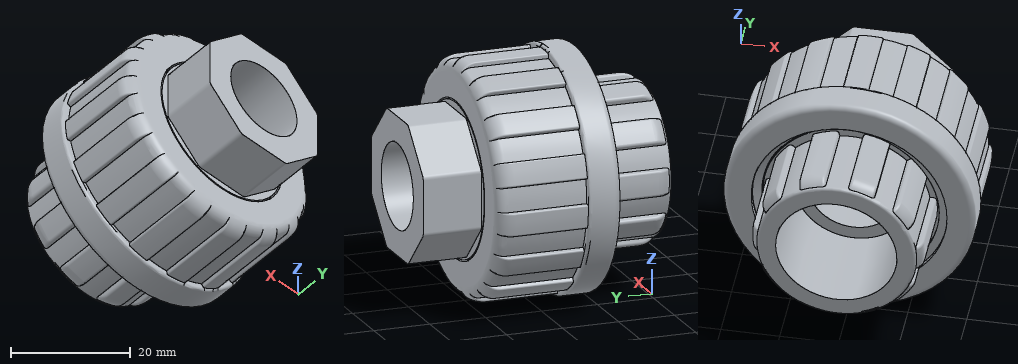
import cadquery as cq
import math


socket_front_y = -22.02
tail_back_y = 22.02
nut_front_y = -10.0
nut_ring_back_y = -4.25
nut_back_y = 11.65
nut_wall = 2.65
tail_flange_thickness = 2.65
nut_seat_y = nut_back_y - nut_wall
joint_y = nut_seat_y - tail_flange_thickness

passage_dia = 15.1
socket_mouth_dia = 20.6
socket_bottom_dia = 19.75
socket_depth = 15.85

thread_pitch = 2.31
thread_half_angle = 27.5
nut_thread_minor_dia = 30.3
nut_thread_major_dia = 33.25
socket_thread_minor_dia = 30.0
thread_depth = (nut_thread_major_dia - nut_thread_minor_dia) / 2
thread_crest_width = thread_pitch / 2 - thread_depth * math.tan(math.radians(thread_half_angle))
thread_root_overlap = 0.15
nut_mouth_dia = 33.3
nut_mouth_depth = 0.93
nut_mouth_y = nut_front_y + nut_mouth_depth
thread_start_y = nut_mouth_y - thread_pitch
socket_thread_turns = 5
nut_thread_turns = 6
socket_thread_front_y = nut_mouth_y + thread_pitch / 2

nut_ring_dia = 43.0
nut_ring_front_fillet = 1.035
nut_ring_back_fillet = 0.55
nut_body_dia = 40.35
nut_body_fillet = 1.95
nut_hole_dia = 27.7
nut_rib_count = 15
nut_rib_dia = 42.0
nut_rib_width = 4.25
nut_rib_edge_fillet = 0.3
nut_rib_end_y = 8.68
nut_rib_end_radius = 2.95

socket_body_dia = 27.2
socket_front_fillet = 0.55
socket_rib_count = 10
socket_rib_dia = 29.3
socket_rib_width = 4.65
socket_rib_edge_fillet = 0.55
socket_rib_end_y = -19.35
socket_rib_end_radius = 2.78

tail_across_flats = 24.55
tail_sides = 8
tail_edge_fillet = 1.035
tail_sleeve_dia = 27.2
tail_flange_dia = 30.0


def cylinder(diameter, start_y, end_y):
    """Round bar along Y between two places."""
    plane = cq.Workplane("XZ", origin=(0, start_y, 0))
    return plane.circle(diameter / 2).extrude(start_y - end_y)


def thread_coil(inner_radius, inner_width, outer_radius, outer_width, turns):
    """Right-hand helical bar of trapezoidal section, starting on the -X side."""
    height = turns * thread_pitch
    helix = cq.Wire.makeHelix(thread_pitch, height, inner_radius)
    section = cq.Workplane("XZ").polyline([
        (inner_radius, -inner_width / 2),
        (outer_radius, -outer_width / 2),
        (outer_radius, outer_width / 2),
        (inner_radius, inner_width / 2),
    ]).close()
    coil = section.sweep(cq.Workplane(obj=helix), isFrenet=True)
    coil = coil.rotate((0, 0, 0), (0, 0, 1), 180)
    coil = coil.rotate((0, 0, 0), (1, 0, 0), -90)
    return coil.translate((0, thread_start_y, 0))


def flank_width(rise):
    """Width that both flanks together gain over a radial distance."""
    return 2 * rise * math.tan(math.radians(thread_half_angle))


def rib(outer_dia, width, edge_fillet, straight_y, root_y, end_radius):
    """Rib on the +Z side, rounded along its edges and curving inward at its free end."""
    outward = math.copysign(1, straight_y - root_y)
    end_y = straight_y + outward * end_radius
    bar = cylinder(outer_dia, root_y, end_y)
    bar = bar.faces(">Y" if outward > 0 else "<Y").edges().fillet(end_radius)
    blank = cq.Workplane("XZ", origin=(0, root_y, outer_dia / 4)).rect(width, outer_dia / 2)
    blank = blank.extrude(root_y - end_y)
    return bar.intersect(blank).edges("|Y").edges(">Z").fillet(edge_fillet)


def ring_of(body, count, first_angle):
    """Copies of a +Z side feature, evenly spaced about Y."""
    for index in range(count):
        yield body.rotate((0, 0, 0), (0, 1, 0), first_angle + index * 360 / count)


def make_nut():
    ring = cylinder(nut_ring_dia, nut_front_y, nut_ring_back_y)
    ring = ring.faces("<Y").edges().fillet(nut_ring_front_fillet)
    ring = ring.faces(">Y").edges().fillet(nut_ring_back_fillet)
    barrel = cylinder(nut_body_dia, nut_front_y + nut_ring_front_fillet, nut_back_y)
    barrel = barrel.faces(">Y").edges().fillet(nut_body_fillet)
    nut = ring.union(barrel)

    nut_rib = rib(
        nut_rib_dia, nut_rib_width, nut_rib_edge_fillet,
        nut_rib_end_y, nut_ring_back_y - nut_ring_back_fillet, nut_rib_end_radius,
    )
    for copy in ring_of(nut_rib, nut_rib_count, 0):
        nut = nut.union(copy)

    nut = nut.cut(cylinder(nut_hole_dia, nut_front_y, nut_back_y))
    nut = nut.cut(cylinder(nut_thread_minor_dia, nut_front_y, nut_seat_y))
    minor_radius = nut_thread_minor_dia / 2
    groove = thread_coil(
        minor_radius - thread_root_overlap,
        thread_crest_width + flank_width(thread_depth + thread_root_overlap),
        minor_radius + thread_depth,
        thread_crest_width,
        nut_thread_turns,
    )
    return nut.cut(groove).cut(cylinder(nut_mouth_dia, nut_front_y, nut_mouth_y))


def make_socket_end():
    minor_radius = socket_thread_minor_dia / 2
    ridge = thread_coil(
        minor_radius - thread_root_overlap,
        thread_crest_width + flank_width(thread_depth + thread_root_overlap),
        minor_radius + thread_depth,
        thread_crest_width,
        socket_thread_turns,
    )
    overhang = cylinder(nut_ring_dia, nut_front_y - 2 * thread_pitch, socket_thread_front_y)
    collar = cylinder(socket_thread_minor_dia, socket_thread_front_y, joint_y)
    collar = collar.union(ridge.cut(overhang))

    barrel = cylinder(socket_body_dia, socket_front_y, socket_thread_front_y)
    barrel = barrel.faces("<Y").edges().fillet(socket_front_fillet)
    socket_rib = rib(
        socket_rib_dia, socket_rib_width, socket_rib_edge_fillet,
        socket_rib_end_y, socket_thread_front_y, socket_rib_end_radius,
    )
    end_trim = cylinder(nut_ring_dia, socket_front_y - socket_rib_end_radius, socket_front_y)
    socket_rib = socket_rib.cut(end_trim)
    for copy in ring_of(socket_rib, socket_rib_count, 90):
        barrel = barrel.union(copy)

    socket_end = barrel.union(collar)
    bottom_y = socket_front_y + socket_depth
    pipe_seat = cq.Solid.makeCone(
        socket_mouth_dia / 2, socket_bottom_dia / 2, socket_depth,
        pnt=cq.Vector(0, socket_front_y, 0), dir=cq.Vector(0, 1, 0),
    )
    return socket_end.cut(cq.Workplane(pipe_seat)).cut(cylinder(passage_dia, bottom_y, joint_y))


def make_tail_end():
    corner_dia = tail_across_flats / math.cos(math.pi / tail_sides)
    octagon = cq.Workplane("XZ", origin=(0, nut_back_y, 0)).polygon(tail_sides, corner_dia)
    octagon = octagon.extrude(nut_back_y - tail_back_y)
    octagon = octagon.rotate((0, 0, 0), (0, 1, 0), 180 / tail_sides)
    octagon = octagon.edges("|Y").fillet(tail_edge_fillet)
    sleeve = cylinder(tail_sleeve_dia, joint_y, nut_back_y)
    flange = cylinder(tail_flange_dia, joint_y, nut_seat_y)
    tail_end = octagon.union(sleeve).union(flange)
    return tail_end.cut(cylinder(passage_dia, joint_y, tail_back_y))


nut = make_nut()
socket_end = make_socket_end()
tail_end = make_tail_end()
result = cq.Compound.makeCompound([nut.val(), socket_end.val(), tail_end.val()])